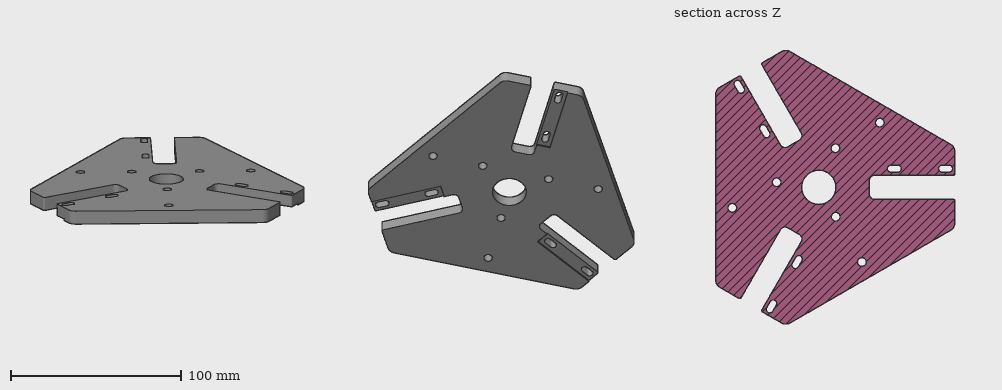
import cadquery as cq
import math

overall_width = 160.8
thickness = 8.0
side_distance = 60.6
tip_radius = 5.0
arm_angles = (0, 120, 240)

sine_60 = math.sin(math.radians(60))
corner_height = overall_width / 2 + tip_radius * (1 / sine_60 - 1)
tip_distance = 2 * sine_60 * corner_height - side_distance
tip_half_width = (2 * side_distance - tip_distance) / (2 * sine_60)

slot_width = 14.0
slot_start = 29.8
slot_inner_radius = 3.0
slot_mouth_radius = 1.0

long_hole_length = 8.0
long_hole_width = 4.0
long_hole_offset = 11.0
long_hole_distances = (44.4, 74.5)

recess_width = 8.0
recess_depth = 1.0
recess_start = 37.8

bore_diameter = 20.0
hole_diameter = 5.0
row_distances = (20.0, 50.0)
row_offset = 15.0
cross_distances = (20.0, 50.7)
row_angle = 30


def turn(shape, angle):
    return shape.rotate((0, 0, 0), (0, 0, 1), angle)


def make_plate():
    corners = []
    for angle in arm_angles:
        cosine = math.cos(math.radians(angle))
        sine = math.sin(math.radians(angle))
        for across in (-tip_half_width, tip_half_width):
            x = tip_distance * cosine - across * sine
            y = tip_distance * sine + across * cosine
            corners.append((x, y))
    plate = cq.Workplane("XY").polyline(corners).close().extrude(thickness)
    return plate.edges("|Z").fillet(tip_radius)


def make_open_slot():
    """Slot cutter along +X that flares at its mouth to round the plate's corners."""
    half_width = slot_width / 2
    mouth_half_width = half_width + slot_mouth_radius
    flare_start = tip_distance - slot_mouth_radius
    diagonal = slot_mouth_radius * math.sqrt(0.5)
    arc_x = flare_start + diagonal
    arc_y = mouth_half_width - diagonal
    slot = (
        cq.Workplane("XY")
        .moveTo(slot_start, -half_width)
        .lineTo(flare_start, -half_width)
        .threePointArc((arc_x, -arc_y), (tip_distance, -mouth_half_width))
        .lineTo(tip_distance, mouth_half_width)
        .threePointArc((arc_x, arc_y), (flare_start, half_width))
        .lineTo(slot_start, half_width)
        .close()
        .extrude(thickness)
    )
    return slot.edges("|Z and <X").fillet(slot_inner_radius)


def make_long_holes():
    centres = [(distance, long_hole_offset) for distance in long_hole_distances]
    outlines = cq.Workplane("XY").pushPoints(centres).slot2D(long_hole_length, long_hole_width)
    return outlines.extrude(thickness)


def make_recess():
    """Recess cutter from the arm's centre line, across the open slot, to its outer edge."""
    length = tip_distance - recess_start
    width = slot_width / 2 + recess_width
    recess = cq.Workplane("XY").box(length, width, recess_depth, centered=False)
    return recess.translate((recess_start, 0, 0))


def make_round_holes():
    centres = []
    for distance in row_distances:
        centres += [(-distance, row_offset), (distance, row_offset)]
    for distance in cross_distances:
        centres.append((0, -distance))
    holes = cq.Workplane("XY").pushPoints(centres).circle(hole_diameter / 2).extrude(thickness)
    return turn(holes, row_angle)


def make_bore():
    return cq.Workplane("XY").circle(bore_diameter / 2).extrude(thickness)


result = make_plate()
for arm_cutter in (make_open_slot(), make_long_holes(), make_recess()):
    for arm_angle in arm_angles:
        result = result.cut(turn(arm_cutter, arm_angle))
result = result.cut(make_round_holes()).cut(make_bore())